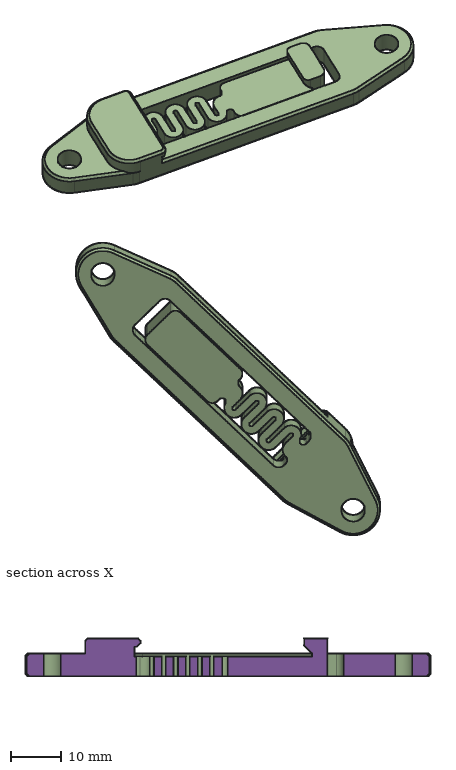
import cadquery as cq
import math

FRAME_WIDTH = 18.0
FRAME_LENGTH = 80.76
FRAME_THICKNESS = 4.6
EDGE_CHAMFER = 0.5
SHOULDER_Y = 24.3
SHOULDER_RADIUS = 5.0
HOLE_DIAMETER = 4.7
HOLE_X = 0.5
HOLE_Y = 35.0

TOTAL_HEIGHT = 7.6
KEEPER_FACE_Y = -18.6
KEEPER_BACK_Y = -28.45
KEEPER_RADIUS = 5.0
LIP_REACH = 1.22
LIP_BOTTOM_Z = 5.9
LIP_UNDERCUT = 0.8

SLOT_WIDTH = 10.0
SLOT_TOP_Y = 23.05
SLOT_RADIUS = 1.5

SLIDER_WIDTH = 9.4
SLIDER_TOP_Y = 19.85
SLIDER_BOTTOM_Y = 0.2
SLIDER_THICKNESS = 4.0
SLIDER_RADIUS = 1.5
LATCH_FRONT_Y = 15.1
LATCH_FRONT_RADIUS = 1.1
LATCH_UNDERCUT = 1.6

SPRING_GAP = 0.8
SPRING_ARM = 1.6
SPRING_PITCH = SPRING_ARM + SPRING_GAP
LOOP_COUNT = 6
LOOP_CENTRE_X = 2.0
LOOP_INNER_RADIUS = SPRING_GAP / 2
LOOP_OUTER_RADIUS = LOOP_INNER_RADIUS + SPRING_ARM
SPRING_CENTRE_Y = (SLIDER_BOTTOM_Y + KEEPER_FACE_Y) / 2
FIRST_LOOP_Y = SPRING_CENTRE_Y + SPRING_PITCH * (LOOP_COUNT - 1) / 2
NECK_HALF_WIDTH = LOOP_CENTRE_X
NOTCH_FILLET = 0.75


def rectangle(x_min, x_max, y_min, y_max, z_min, z_max):
    """Block between the given limits."""
    block = cq.Workplane("XY").box(x_max - x_min, y_max - y_min, z_max - z_min, centered=False)
    return block.translate((x_min, y_min, z_min))


def ear_tangent(side):
    """Point where the straight taper on one side (+1 or -1) touches the +Y ear arc."""
    ear_radius = FRAME_LENGTH / 2 - HOLE_Y
    reach_x = FRAME_WIDTH / 2 - side * HOLE_X
    drop_y = HOLE_Y - SHOULDER_Y
    swing = math.acos(ear_radius / math.hypot(reach_x, drop_y)) - math.atan2(drop_y, reach_x)
    return (
        HOLE_X + side * ear_radius * math.cos(swing),
        HOLE_Y + ear_radius * math.sin(swing),
    )


def make_frame():
    """Solid bar outline with rounded shoulders and chamfered top and bottom rims."""
    half_width = FRAME_WIDTH / 2
    end_y = FRAME_LENGTH / 2
    left_x, left_y = ear_tangent(-1)
    right_x, right_y = ear_tangent(1)
    frame = (
        cq.Workplane("XY")
        .moveTo(-half_width, -SHOULDER_Y)
        .lineTo(-half_width, SHOULDER_Y)
        .lineTo(left_x, left_y)
        .threePointArc((HOLE_X, end_y), (right_x, right_y))
        .lineTo(half_width, SHOULDER_Y)
        .lineTo(half_width, -SHOULDER_Y)
        .lineTo(right_x, -right_y)
        .threePointArc((HOLE_X, -end_y), (left_x, -left_y))
        .close()
        .extrude(FRAME_THICKNESS)
    )
    shoulder_limit = (SHOULDER_Y + HOLE_Y) / 2
    shoulders = cq.selectors.BoxSelector(
        (-FRAME_WIDTH, -shoulder_limit, 0), (FRAME_WIDTH, shoulder_limit, FRAME_THICKNESS)
    )
    frame = frame.edges("|Z").edges(shoulders).fillet(SHOULDER_RADIUS)
    return frame.faces("<Z or >Z").chamfer(EDGE_CHAMFER)


def make_keeper():
    """Keeper block with its lip, reaching down to the top of the frame's bottom chamfer."""
    half_width = FRAME_WIDTH / 2
    lip_tip_y = KEEPER_FACE_Y + LIP_REACH
    keeper = rectangle(-half_width, half_width, KEEPER_BACK_Y, lip_tip_y, EDGE_CHAMFER, TOTAL_HEIGHT)
    keeper = keeper.edges("|Z and <Y").fillet(KEEPER_RADIUS)
    keeper = keeper.edges("|Z and >Y").fillet(LIP_REACH)
    keeper = keeper.faces(">Z").chamfer(EDGE_CHAMFER)
    below_lip = (
        cq.Workplane("YZ")
        .moveTo(lip_tip_y, 0)
        .lineTo(lip_tip_y, LIP_BOTTOM_Z + LIP_UNDERCUT)
        .lineTo(lip_tip_y - LIP_UNDERCUT, LIP_BOTTOM_Z)
        .lineTo(KEEPER_FACE_Y, LIP_BOTTOM_Z)
        .lineTo(KEEPER_FACE_Y, 0)
        .close()
        .extrude(half_width, both=True)
    )
    return keeper.cut(below_lip)


def make_slider():
    """Thin plate with a latch whose front is undercut down to the frame's top level."""
    half_width = SLIDER_WIDTH / 2
    plate = rectangle(-half_width, half_width, SLIDER_BOTTOM_Y, SLIDER_TOP_Y, 0, SLIDER_THICKNESS)
    plate = plate.edges("|Z").fillet(SLIDER_RADIUS)
    latch = rectangle(-half_width, half_width, LATCH_FRONT_Y, SLIDER_TOP_Y, 0, TOTAL_HEIGHT)
    latch = latch.edges("|Z and >Y").fillet(SLIDER_RADIUS)
    latch = latch.edges("|Z and <Y").fillet(LATCH_FRONT_RADIUS)
    undercut = (
        cq.Workplane("YZ")
        .moveTo(LATCH_FRONT_Y, 0)
        .lineTo(LATCH_FRONT_Y, FRAME_THICKNESS + LATCH_UNDERCUT)
        .lineTo(LATCH_FRONT_Y + LATCH_UNDERCUT, FRAME_THICKNESS)
        .lineTo(LATCH_FRONT_Y + LATCH_UNDERCUT, 0)
        .close()
        .extrude(half_width, both=True)
    )
    return plate.union(latch.cut(undercut))


def make_spring_loop(side, centre_y):
    """Half-ring turn joining two spring arms on one side (+1 or -1)."""
    loop_x = side * LOOP_CENTRE_X
    return (
        cq.Workplane("XY")
        .moveTo(loop_x, centre_y + LOOP_OUTER_RADIUS)
        .threePointArc((loop_x + side * LOOP_OUTER_RADIUS, centre_y), (loop_x, centre_y - LOOP_OUTER_RADIUS))
        .lineTo(loop_x, centre_y - LOOP_INNER_RADIUS)
        .threePointArc((loop_x + side * LOOP_INNER_RADIUS, centre_y), (loop_x, centre_y + LOOP_INNER_RADIUS))
        .close()
        .extrude(SLIDER_THICKNESS)
    )


def make_spring_neck():
    """Filleted neck between the slider and the first spring loop."""
    arm_edge_y = FIRST_LOOP_Y + LOOP_INNER_RADIUS
    arm_middle_y = arm_edge_y + SPRING_ARM / 2
    bend_radius = NECK_HALF_WIDTH
    fillet_y = arm_edge_y + bend_radius
    fillet_radius = SLIDER_BOTTOM_Y - fillet_y
    fillet_x = -NECK_HALF_WIDTH - fillet_radius
    notch_x = NECK_HALF_WIDTH + NOTCH_FILLET
    notch_y = SLIDER_BOTTOM_Y - NOTCH_FILLET
    diagonal = math.sqrt(0.5)
    touch = LOOP_OUTER_RADIUS / (LOOP_OUTER_RADIUS + NOTCH_FILLET)
    touch_x = LOOP_CENTRE_X + NOTCH_FILLET * touch
    touch_y = FIRST_LOOP_Y + (notch_y - FIRST_LOOP_Y) * touch
    return (
        cq.Workplane("XY")
        .moveTo(fillet_x, SLIDER_BOTTOM_Y)
        .threePointArc(
            (fillet_x + fillet_radius * diagonal, fillet_y + fillet_radius * diagonal),
            (-NECK_HALF_WIDTH, fillet_y),
        )
        .threePointArc(
            (-bend_radius * diagonal, arm_edge_y + bend_radius * (1 - diagonal)), (0, arm_edge_y)
        )
        .lineTo(NECK_HALF_WIDTH, arm_edge_y)
        .lineTo(touch_x, arm_middle_y)
        .lineTo(touch_x, touch_y)
        .threePointArc((NECK_HALF_WIDTH, notch_y), (notch_x, SLIDER_BOTTOM_Y))
        .close()
        .extrude(SLIDER_THICKNESS)
    )


def make_spring():
    """Loops alternating from side to side, with the same neck turned half round at each end."""
    neck = make_spring_neck()
    spring = neck.union(neck.rotate((0, SPRING_CENTRE_Y, 0), (0, SPRING_CENTRE_Y, 1), 180))
    for index in range(LOOP_COUNT):
        loop_y = FIRST_LOOP_Y - index * SPRING_PITCH
        side = 1 if index % 2 == 0 else -1
        spring = spring.union(make_spring_loop(side, loop_y))
    for index in range(LOOP_COUNT - 1):
        arm_top_y = FIRST_LOOP_Y - LOOP_INNER_RADIUS - index * SPRING_PITCH
        arm = rectangle(
            -LOOP_CENTRE_X, LOOP_CENTRE_X, arm_top_y - SPRING_ARM, arm_top_y, 0, SLIDER_THICKNESS
        )
        spring = spring.union(arm)
    return spring


def make_slot():
    """Cutter for the slot."""
    half_width = SLOT_WIDTH / 2
    slot = rectangle(-half_width, half_width, KEEPER_FACE_Y, SLOT_TOP_Y, 0, FRAME_THICKNESS)
    return slot.edges("|Z").fillet(SLOT_RADIUS)


def make_ear_holes():
    """Cutter for the mounting holes."""
    return (
        cq.Workplane("XY")
        .pushPoints([(HOLE_X, HOLE_Y), (HOLE_X, -HOLE_Y)])
        .circle(HOLE_DIAMETER / 2)
        .extrude(FRAME_THICKNESS)
    )


result = make_frame().union(make_keeper())
result = result.cut(make_slot()).cut(make_ear_holes())
result = result.union(make_slider().union(make_spring()))